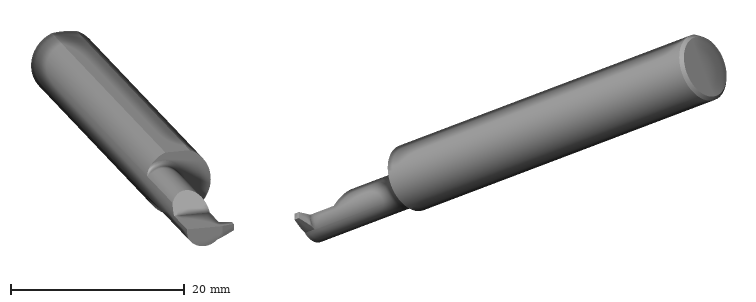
import cadquery as cq

total_length = 63.5
shank_length = 46.35
shank_radius = 3.97
flat_height = 3.7
end_chamfer = 0.4

neck_radius = 2.2
neck_center_y = -1.9
root_fillet = 0.5

cutting_height = 0.0
cutting_face_length = 5.2

tooth_tip_y = 1.8
tooth_tip_width = 0.7
tooth_root_width = 1.45
tooth_end_setback = 0.05
tooth_flank_run = 0.3
tooth_tip_thickness = 0.75

neck_side_y = neck_center_y + neck_radius


def make_shank():
    """Round shank with a chamfered back end and a clamping flat on top."""
    shank = cq.Workplane("YZ").circle(shank_radius).extrude(shank_length)
    shank = shank.faces("<X").chamfer(end_chamfer)
    below_flat = cq.Workplane("XY").box(
        shank_length, 2 * shank_radius, shank_radius + flat_height, centered=(False, True, False)
    ).translate((0, 0, -shank_radius))
    return shank.intersect(below_flat)


def make_neck():
    """Offset round neck with a flared root, trimmed to the shank cylinder."""
    flare_radius = neck_radius + root_fillet
    flare_end = shank_length + root_fillet
    arc_offset = root_fillet * (1 - 0.5 ** 0.5)
    neck = (
        cq.Workplane("XY")
        .moveTo(shank_length, 0)
        .lineTo(shank_length, flare_radius)
        .threePointArc((shank_length + arc_offset, neck_radius + arc_offset), (flare_end, neck_radius))
        .lineTo(total_length, neck_radius)
        .lineTo(total_length, 0)
        .close()
        .revolve(360, (0, 0, 0), (1, 0, 0))
        .translate((0, neck_center_y, 0))
    )
    envelope = cq.Workplane("YZ").circle(shank_radius).extrude(total_length)
    return neck.intersect(envelope)


def make_relief():
    """Material above the cutting face, ending in a 45 degree run-out."""
    ramp_foot_x = total_length - cutting_face_length
    relief_top = cutting_height + shank_radius
    return (
        cq.Workplane("XZ")
        .moveTo(ramp_foot_x, cutting_height)
        .lineTo(ramp_foot_x - shank_radius, relief_top)
        .lineTo(total_length, relief_top)
        .lineTo(total_length, cutting_height)
        .close()
        .extrude(shank_radius, both=True)
    )


def make_tooth():
    """Tapered side tooth, thinner at its tip for clearance below the edge."""
    root_end_x = total_length - tooth_end_setback
    root_start_x = root_end_x - tooth_root_width
    tip_end_x = root_end_x - tooth_flank_run
    plan = (
        cq.Workplane("XY", origin=(0, 0, cutting_height))
        .moveTo(root_start_x, neck_center_y)
        .lineTo(root_start_x, neck_side_y)
        .lineTo(tip_end_x - tooth_tip_width, tooth_tip_y)
        .lineTo(tip_end_x, tooth_tip_y)
        .lineTo(root_end_x, neck_side_y)
        .lineTo(root_end_x, neck_center_y)
        .close()
        .extrude(-neck_radius)
    )
    section = (
        cq.Workplane("YZ")
        .moveTo(neck_center_y, cutting_height)
        .lineTo(tooth_tip_y, cutting_height)
        .lineTo(tooth_tip_y, cutting_height - tooth_tip_thickness)
        .lineTo(neck_center_y, -neck_radius)
        .close()
        .extrude(total_length)
    )
    return plan.intersect(section)


blade = make_neck().cut(make_relief()).union(make_tooth())
result = make_shank().union(blade)